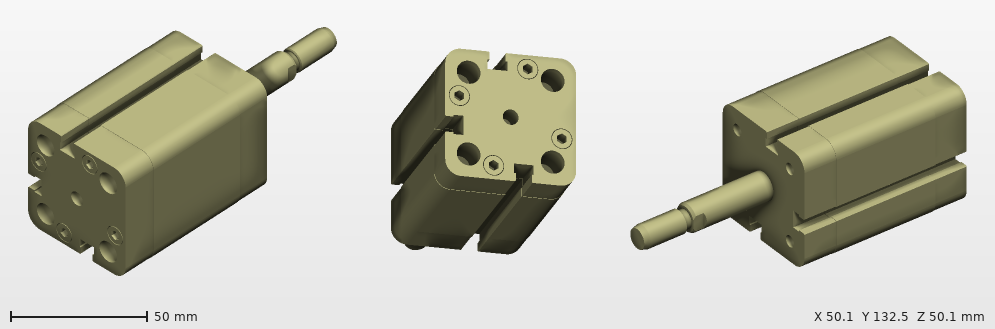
import cadquery as cq

TUBE_SIDE = 50.1
TUBE_STEP = 0.15
CAP_SIDE = TUBE_SIDE - 2 * TUBE_STEP
CORNER_RADIUS = 6.0
BODY_LENGTH = 74.5
CAP_LENGTH = 14.5
TUBE_LENGTH = BODY_LENGTH - 2 * CAP_LENGTH

SLOT_OFFSET = 5.0
SLOT_MOUTH_WIDTH = 6.1
SLOT_MOUTH_DEPTH = 3.2
SLOT_EDGE_CHAMFER = 0.3
SLOT_POCKET_WIDTH = 7.5
SLOT_DEPTH = 6.9
SLOT_ANGLES = (0, -90, 180)

MOUNT_PITCH = 32.0
MOUNT_HOLE_DIAMETER = 4.92
MOUNT_BORE_DIAMETER = 9.0
MOUNT_BORE_DEPTH = CAP_LENGTH

SCREW_ALONG = 6.5
SCREW_ACROSS = 19.5
SCREW_CENTERS = (
    (SCREW_ALONG, SCREW_ACROSS),
    (SCREW_ACROSS, -SCREW_ALONG),
    (-SCREW_ALONG, -SCREW_ACROSS),
    (-SCREW_ACROSS, SCREW_ALONG),
)
SCREW_RECESS_DIAMETER = 8.0
SCREW_HEAD_DIAMETER = 7.5
SCREW_GAP_DEPTH = 4.0
SOCKET_SIDES = 6
SOCKET_FLATS = 3.6
SOCKET_DEPTH = 6.0

PORT_DIAMETER = 6.0
PORT_DEPTH = 10.0

ROD_DIAMETER = 12.0
THREAD_DIAMETER = 10.0
NECK_DIAMETER = 7.9
TIP_DIAMETER = 8.57
ROD_LENGTH = 36.0
ROD_CHAMFER_LENGTH = 1.15
ROD_END_DIAMETER = 10.6
NECK_LENGTH = 2.6
THREAD_LENGTH = 19.4
THREAD_BACK_CHAMFER = 0.4
TIP_LENGTH = 2.5
ROD_END = BODY_LENGTH + ROD_LENGTH
TOTAL_LENGTH = ROD_END + NECK_LENGTH + THREAD_LENGTH

FLAT_WIDTH = 10.0
FLAT_LENGTH = 4.6
FLAT_RUNOUT = 0.8


def front_plane(y):
    """Plane across the cylinder axis at the given Y, facing +Y (local y is +Z)."""
    return cq.Workplane(cq.Plane(origin=(0, y, 0), xDir=(-1, 0, 0), normal=(0, 1, 0)))


def make_slot(start, length, step):
    """T-slot in the +Z face; the step raises the outer face and draws the slot walls inward."""
    top = CAP_SIDE / 2 + step
    floor = CAP_SIDE / 2 - SLOT_DEPTH + step
    ledge = CAP_SIDE / 2 - SLOT_MOUTH_DEPTH
    half_mouth = SLOT_MOUTH_WIDTH / 2 - step
    half_pocket = SLOT_POCKET_WIDTH / 2 - step
    half_outline = [
        (half_pocket, floor),
        (half_pocket, ledge),
        (half_mouth, ledge),
        (half_mouth, top - SLOT_EDGE_CHAMFER),
        (half_mouth + SLOT_EDGE_CHAMFER, top),
    ]
    mirrored = [(-x, z) for x, z in reversed(half_outline)]
    slot = front_plane(start).polyline(half_outline + mirrored).close().extrude(length)
    return slot.translate((-SLOT_OFFSET, 0, 0))


def make_section(start, length, step):
    """Slotted length of the body whose walls all stand proud of the cap outline by the step."""
    side = CAP_SIDE + 2 * step
    section = front_plane(start).rect(side, side).extrude(length)
    section = section.edges("|Y").fillet(CORNER_RADIUS + step)
    slot = make_slot(start, length, step)
    for angle in SLOT_ANGLES:
        section = section.cut(slot.rotate((0, 0, 0), (0, 1, 0), angle))
    return section


def make_body():
    front_cap = make_section(0, CAP_LENGTH, 0)
    tube = make_section(CAP_LENGTH, TUBE_LENGTH, TUBE_STEP)
    rear_cap = make_section(CAP_LENGTH + TUBE_LENGTH, CAP_LENGTH, 0)
    return front_cap.union(tube).union(rear_cap)


def make_mounting_holes():
    centers = front_plane(0).rect(MOUNT_PITCH, MOUNT_PITCH, forConstruction=True).vertices()
    holes = centers.circle(MOUNT_HOLE_DIAMETER / 2).extrude(BODY_LENGTH)
    bores = centers.circle(MOUNT_BORE_DIAMETER / 2).extrude(MOUNT_BORE_DEPTH)
    return holes.union(bores)


def make_screw_recess(x, z):
    """Ring gap around a screw head and its hexagon socket, with two socket flats upright."""
    center = front_plane(0).center(-x, z)
    gap = (
        center.circle(SCREW_RECESS_DIAMETER / 2)
        .circle(SCREW_HEAD_DIAMETER / 2)
        .extrude(SCREW_GAP_DEPTH)
    )
    socket = center.polygon(SOCKET_SIDES, SOCKET_FLATS, circumscribed=True).extrude(SOCKET_DEPTH)
    return gap.union(socket)


def make_rod():
    """Turned rod rooted in the rear cap: plain rod, neck and threaded end, with two wrench flats."""
    thread_start = ROD_END + NECK_LENGTH
    root = BODY_LENGTH - CAP_LENGTH
    profile = [
        (0, root),
        (ROD_DIAMETER / 2, root),
        (ROD_DIAMETER / 2, ROD_END - ROD_CHAMFER_LENGTH),
        (ROD_END_DIAMETER / 2, ROD_END),
        (NECK_DIAMETER / 2, ROD_END),
        (NECK_DIAMETER / 2, thread_start),
        (THREAD_DIAMETER / 2 - THREAD_BACK_CHAMFER, thread_start),
        (THREAD_DIAMETER / 2, thread_start + THREAD_BACK_CHAMFER),
        (THREAD_DIAMETER / 2, TOTAL_LENGTH - TIP_LENGTH),
        (TIP_DIAMETER / 2, TOTAL_LENGTH),
        (0, TOTAL_LENGTH),
    ]
    rod = cq.Workplane("XY").polyline(profile).close().revolve(360, (0, 0, 0), (0, 1, 0))
    return rod.cut(make_flat_cut(1)).cut(make_flat_cut(-1))


def make_flat_cut(side):
    """Wrench flat on the +X (side = 1) or -X (side = -1) face of the rod, with a sloped runout."""
    inner = side * FLAT_WIDTH / 2
    outer = side * ROD_DIAMETER / 2
    outline = [
        (inner, ROD_END),
        (inner, ROD_END - FLAT_LENGTH),
        (outer, ROD_END - FLAT_LENGTH - FLAT_RUNOUT),
        (outer, ROD_END),
    ]
    return cq.Workplane("XY").polyline(outline).close().extrude(ROD_DIAMETER / 2, both=True)


body = make_body()
body = body.cut(make_mounting_holes())
for screw_x, screw_z in SCREW_CENTERS:
    body = body.cut(make_screw_recess(screw_x, screw_z))
body = body.cut(front_plane(0).circle(PORT_DIAMETER / 2).extrude(PORT_DEPTH))

result = body.union(make_rod())